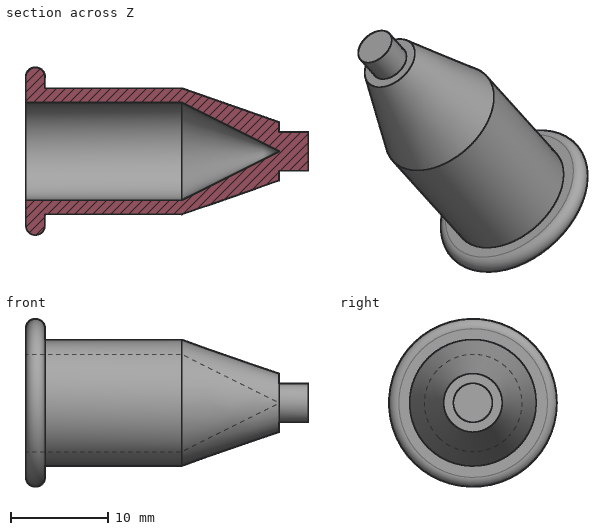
import cadquery as cq

total_length = 29.0
flange_thickness = 2.0
shoulder_x = 16.0
taper_end_x = 26.0

flange_diameter = 17.25
body_diameter = 13.0
taper_end_diameter = 6.0
pin_diameter = 4.0
bore_diameter = 10.0

bore_straight_depth = shoulder_x
bore_tip_x = taper_end_x


def revolve_about_x(profile):
    """Close a half profile in the XY plane and turn it about the X axis."""
    return profile.close().revolve(360, (0, 0, 0), (1, 0, 0))


def make_outside():
    """Flange with a full-round rim, straight body, taper and end pin."""
    flange_radius = flange_diameter / 2
    rim_radius = flange_thickness / 2
    flat_radius = flange_radius - rim_radius
    profile = (
        cq.Workplane("XY")
        .lineTo(0, flat_radius)
        .threePointArc((rim_radius, flange_radius), (flange_thickness, flat_radius))
        .lineTo(flange_thickness, body_diameter / 2)
        .lineTo(shoulder_x, body_diameter / 2)
        .lineTo(taper_end_x, taper_end_diameter / 2)
        .lineTo(taper_end_x, pin_diameter / 2)
        .lineTo(total_length, pin_diameter / 2)
        .lineTo(total_length, 0)
    )
    return revolve_about_x(profile)


def make_bore():
    """Straight hole from the flange face ending in a pointed cone."""
    bore_radius = bore_diameter / 2
    profile = (
        cq.Workplane("XY")
        .lineTo(0, bore_radius)
        .lineTo(bore_straight_depth, bore_radius)
        .lineTo(bore_tip_x, 0)
    )
    return revolve_about_x(profile)


result = make_outside().cut(make_bore())